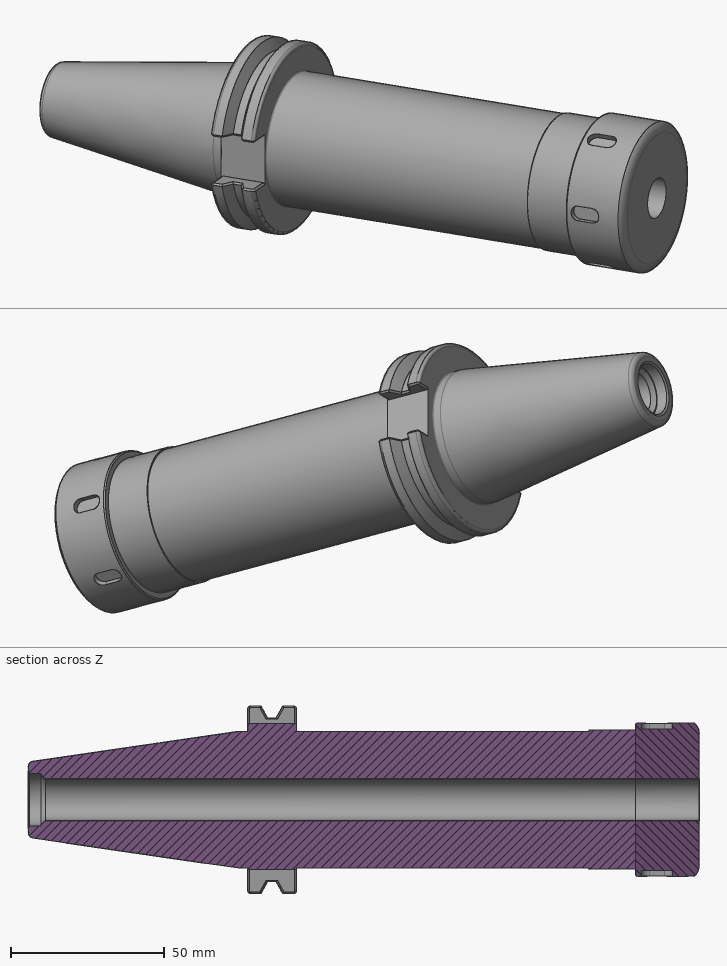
import cadquery as cq
import math

overall_length = 218.2

gauge_diameter = 44.5
taper_length = 68.3
taper_ratio = 7 / 24
taper_tip_diameter = gauge_diameter - taper_ratio * taper_length
tip_fillet = 1.7

flange_diameter = 63.5
flange_start = 71.4
flange_end = 87.3
flange_edge_fillet = 1.0
flange_root_fillet = 0.2
groove_center = 79.2
groove_floor_diameter = 56.0
groove_floor_width = 2.8
groove_wall_angle = 30.0

slot_width = 16.2
slot_edge_chamfer = 0.7
front_slot_floor = 22.7
rear_slot_floor = 24.9

shank_diameter = gauge_diameter
nose_start = 182.5
nose_diameter = 45.5

through_diameter = 13.5
counterbore_diameter = 17.0
counterbore_depth = 4.1
seat_diameter = 16.4
bore_cone_angle = 45.0
countersink_diameter = 18.3
countersink_depth = 0.5

nut_diameter = 50.0
nut_start = 197.5
nut_face_diameter = 43.5
nut_front_radius = 4.0
nut_back_chamfer = 0.5
wrench_slot_count = 6
wrench_slot_start = 199.5
wrench_slot_length = 10.0
wrench_slot_width = 5.0
wrench_slot_depth = 2.0

selection_margin = 0.02


def revolve_about_x(points):
    """Turn a closed (x, radius) outline about the X axis."""
    return cq.Workplane("XY").polyline(points).close().revolve(360, (0, 0, 0), (1, 0, 0))


def cylinder(start, end, diameter):
    """Round bar on the X axis."""
    return cq.Workplane("YZ").workplane(offset=start).circle(diameter / 2).extrude(end - start)


def make_taper():
    """Drive taper with a rounded tip, up to the flange."""
    taper = revolve_about_x([
        (0, 0),
        (0, taper_tip_diameter / 2),
        (taper_length, gauge_diameter / 2),
        (flange_start, gauge_diameter / 2),
        (flange_start, 0),
    ])
    return taper.faces("<X").edges().fillet(tip_fillet)


def make_groove():
    """Ring to be cut from the flange rim."""
    floor_radius = groove_floor_diameter / 2
    rim_radius = flange_diameter / 2
    floor_half = groove_floor_width / 2
    rim_half = floor_half + (rim_radius - floor_radius) * math.tan(math.radians(groove_wall_angle))
    return revolve_about_x([
        (groove_center - floor_half, floor_radius),
        (groove_center - rim_half, rim_radius),
        (groove_center + rim_half, rim_radius),
        (groove_center + floor_half, floor_radius),
    ])


def make_drive_slot(side, floor):
    """Square-cornered slot outside the given distance from the axis; side is -1 or +1 along Y."""
    depth = flange_diameter / 2 - floor
    return cq.Workplane("XY").box(flange_end - flange_start, depth, slot_width).translate(
        ((flange_start + flange_end) / 2, side * (floor + depth / 2), 0)
    )


def add_root_fillets(body):
    """Round the two corners where the taper collar and the shank meet the flange."""
    reach = shank_diameter / 2 + selection_margin
    roots = cq.selectors.BoxSelector(
        (flange_start - selection_margin, -reach, -reach),
        (flange_end + selection_margin, reach, reach),
        boundingbox=True,
    )
    return body.edges(roots).fillet(flange_root_fillet)


def cut_drive_slots(body):
    body = body.cut(make_drive_slot(-1, front_slot_floor))
    return body.cut(make_drive_slot(1, rear_slot_floor))


def make_bore():
    """Stepped bore: countersink, counterbore, conical seat, then the through hole of both bodies."""
    counterbore_radius = counterbore_diameter / 2
    countersink_radius = countersink_diameter / 2
    seat_radius = seat_diameter / 2
    cone_drop = seat_radius - through_diameter / 2
    cone_length = cone_drop / math.tan(math.radians(bore_cone_angle))
    return revolve_about_x([
        (0, 0),
        (0, countersink_radius),
        (countersink_depth, counterbore_radius),
        (counterbore_depth, counterbore_radius),
        (counterbore_depth, seat_radius),
        (counterbore_depth + cone_length, through_diameter / 2),
        (overall_length, through_diameter / 2),
        (overall_length, 0),
    ])


def chamfer_slot_walls(body, side, floor):
    """Break every outer edge of both walls of one drive slot, leaving its floor corners sharp."""
    for wall in (-slot_width / 2, slot_width / 2):
        rim = cq.selectors.BoxSelector(
            (flange_start - selection_margin, side * (floor + selection_margin), wall - selection_margin),
            (flange_end + selection_margin, side * flange_diameter / 2, wall + selection_margin),
        )
        body = body.edges(rim).chamfer(slot_edge_chamfer)
    return body


def make_holder():
    flange = cylinder(flange_start, flange_end, flange_diameter).edges().fillet(flange_edge_fillet)
    shank = cylinder(flange_end, nose_start, shank_diameter)
    nose = cylinder(nose_start, nut_start, nose_diameter)
    holder = make_taper().union(flange).union(shank)
    holder = add_root_fillets(holder)
    holder = cut_drive_slots(holder.cut(make_groove()))
    holder = chamfer_slot_walls(holder, -1, front_slot_floor)
    holder = chamfer_slot_walls(holder, 1, rear_slot_floor)
    return holder.union(nose).cut(make_bore())


def make_wrench_slot(angle):
    """Rounded slot sunk into the nut, starting from the -Y side and turned about X."""
    slot = (
        cq.Workplane("XZ")
        .workplane(offset=nut_diameter / 2 - wrench_slot_depth)
        .center(wrench_slot_start + wrench_slot_length / 2, 0)
        .slot2D(wrench_slot_length, wrench_slot_width)
        .extrude(2 * wrench_slot_depth)
    )
    return slot.rotate((0, 0, 0), (1, 0, 0), angle)


def make_nut():
    face_radius = nut_face_diameter / 2
    nut_radius = nut_diameter / 2
    arc_center = overall_length - nut_front_radius
    rounding_start = arc_center + math.sqrt(nut_front_radius**2 - (nut_radius - face_radius) ** 2)
    nut = (
        cq.Workplane("XY")
        .moveTo(nut_start, 0)
        .lineTo(nut_start, nut_radius - nut_back_chamfer)
        .lineTo(nut_start + nut_back_chamfer, nut_radius)
        .lineTo(rounding_start, nut_radius)
        .radiusArc((overall_length, face_radius), nut_front_radius)
        .lineTo(overall_length, 0)
        .close()
        .revolve(360, (0, 0, 0), (1, 0, 0))
    )
    for index in range(wrench_slot_count):
        nut = nut.cut(make_wrench_slot(index * 360 / wrench_slot_count))
    return nut.cut(make_bore())


holder = make_holder()
nut = make_nut()
result = cq.Compound.makeCompound([holder.val(), nut.val()])